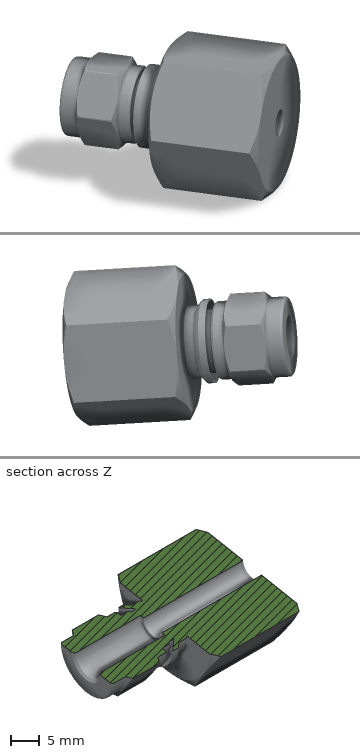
import cadquery as cq
import math

overall_length = 37.75

body_start = 17.85
body_flats = 23.8

collar_diameter = 13.9
collar_round = 0.5
nut_hex_start = 3.05
nut_hex_end = 10.55
nut_flats = 14.2
nut_corner_diameter = 16.25
skirt_diameter = 13.6
skirt_end = 12.65
skirt_chamfer_length = 0.35
skirt_chamfer_height = 0.23

neck_diameter = 11.1
flange_diameter = 14.6
flange_start = 13.6
flange_end = 14.8
flange_groove_diameter = 14.1
undercut_start = 14.1
undercut_diameter = 10.1
shoulder_diameter = 12.6
shoulder_chamfer = 0.38

through_diameter = 4.83
tube_diameter = 6.5
tube_depth = 15.1
entry_diameter = 7.4

bevel_angle = math.radians(30)
entry_angle = math.radians(45)


def cylinder(start, end, diameter):
    return cq.Workplane("YZ", origin=(start, 0, 0)).circle(diameter / 2).extrude(end - start)


def revolve_profile(points):
    """Revolve a closed (x, radius) outline about the X axis."""
    return cq.Workplane("XY").polyline(points).close().revolve(360, (0, 0, 0), (1, 0, 0))


def beveled_hexagon(start, end, flats, corner_diameter, start_circle, end_circle):
    """Hexagon with corners on Y, turned conically to the given circle at each end."""
    sharp_diameter = flats / math.cos(math.pi / 6)
    prism = cq.Workplane("YZ", origin=(start, 0, 0)).polygon(6, sharp_diameter).extrude(end - start)
    corner_radius = corner_diameter / 2
    start_bevel = (corner_radius - start_circle / 2) * math.tan(bevel_angle)
    end_bevel = (corner_radius - end_circle / 2) * math.tan(bevel_angle)
    envelope = revolve_profile([
        (start, 0),
        (start, start_circle / 2),
        (start + start_bevel, corner_radius),
        (end - end_bevel, corner_radius),
        (end, end_circle / 2),
        (end, 0),
    ])
    return prism.intersect(envelope)


def make_nut():
    collar = cylinder(0, nut_hex_start, collar_diameter).faces("<X").edges().fillet(collar_round)
    hexagon = beveled_hexagon(
        nut_hex_start, nut_hex_end, nut_flats, nut_corner_diameter, collar_diameter, skirt_diameter
    )
    skirt_radius = skirt_diameter / 2
    skirt = revolve_profile([
        (nut_hex_end, 0),
        (nut_hex_end, skirt_radius),
        (skirt_end - skirt_chamfer_length, skirt_radius),
        (skirt_end, skirt_radius - skirt_chamfer_height),
        (skirt_end, 0),
    ])
    return collar.union(hexagon).union(skirt)


def make_neck():
    neck_radius = neck_diameter / 2
    flange_radius = flange_diameter / 2
    shoulder_radius = shoulder_diameter / 2
    shoulder_start = flange_end + flange_radius - shoulder_radius
    return revolve_profile([
        (skirt_end, 0),
        (skirt_end, neck_radius),
        (flange_start, neck_radius),
        (flange_start, flange_radius),
        (flange_end, flange_radius),
        (shoulder_start, shoulder_radius),
        (body_start - shoulder_chamfer, shoulder_radius),
        (body_start, shoulder_radius - shoulder_chamfer),
        (body_start, 0),
    ])


def make_flange_groove():
    """Annular groove in the front of the flange: a 45 degree dish down to an undercut in the neck."""
    outer_radius = flange_groove_diameter / 2
    neck_radius = neck_diameter / 2
    undercut_radius = undercut_diameter / 2
    return revolve_profile([
        (flange_start, neck_radius),
        (undercut_start, neck_radius),
        (undercut_start + neck_radius - undercut_radius, undercut_radius),
        (flange_start + outer_radius - undercut_radius, undercut_radius),
        (flange_start, outer_radius),
    ])


def make_body():
    corner_diameter = body_flats / math.cos(math.pi / 6)
    return beveled_hexagon(
        body_start, overall_length, body_flats, corner_diameter, body_flats, body_flats
    )


def make_bore():
    entry_depth = (entry_diameter - tube_diameter) / 2 / math.tan(entry_angle)
    return revolve_profile([
        (0, 0),
        (0, entry_diameter / 2),
        (entry_depth, tube_diameter / 2),
        (tube_depth, tube_diameter / 2),
        (tube_depth, through_diameter / 2),
        (overall_length, through_diameter / 2),
        (overall_length, 0),
    ])


result = make_nut().union(make_neck().cut(make_flange_groove())).union(make_body()).cut(make_bore())